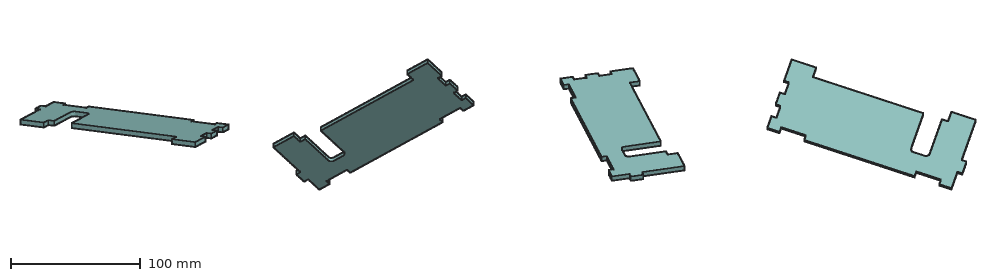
import cadquery as cq

length = 154.0
width = 58.0
thickness = 4.0

joint_depth = thickness
finger = 10.0
tab_bottom = 34.0
edge_notch_length = 2 * finger
end_notch_bottoms = (18.0, 18.0 + 2 * finger)

foot_length = 2 * finger
foot_height = 8.0

slot_offset = 25.0
slot_width = 15.0
slot_top = 40.0
slot_corner_radius = 3.0

body_left = joint_depth


def block(x, y, size_x, size_y):
    """Full-thickness block with its lower left corner at (x, y)."""
    return cq.Workplane("XY").box(size_x, size_y, thickness, centered=False).translate((x, y, 0))


plate = block(body_left, 0, length - body_left, width)
plate = plate.union(block(0, tab_bottom, joint_depth, finger))

notch_y = width - joint_depth
for notch_x in (body_left + finger, length - finger - edge_notch_length):
    plate = plate.cut(block(notch_x, notch_y, edge_notch_length, joint_depth))

for notch_bottom in end_notch_bottoms:
    plate = plate.cut(block(length - joint_depth, notch_bottom, joint_depth, finger))

relief_left = body_left + foot_length
plate = plate.cut(block(relief_left, 0, length - foot_length - relief_left, foot_height))

slot = block(body_left + slot_offset, 0, slot_width, slot_top)
slot = slot.edges("|Z and >Y").fillet(slot_corner_radius)
result = plate.cut(slot)